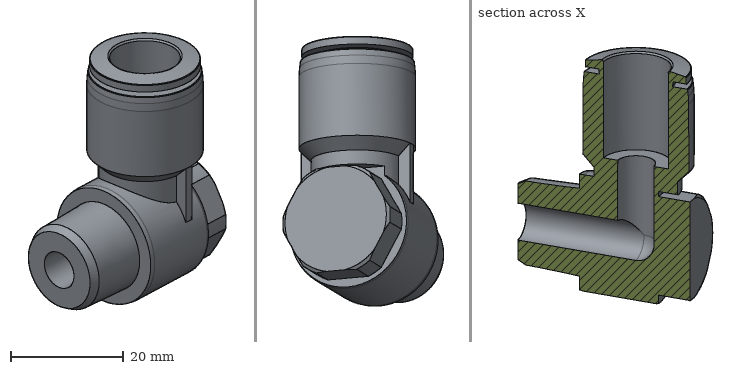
import cadquery as cq
import math


body_radius = 11.25
body_front_y = -11.07
body_rear_y = 4.47
body_edge_inset = 0.15
body_front_edge_length = 0.9
body_rear_edge_length = 0.45

male_root_radius = 8.5
male_tip_radius = 8.15
male_end_radius = 7.3
male_chamfer_y = -21.55
male_end_y = -23.1

hex_across_flats = 19.05
hex_corner_radius = 10.25
hex_rear_y = 10.6
hex_chamfer_inset = 0.6
hex_chamfer_length = 0.4

neck_radius = 8.23
neck_rear_bottom_z = 10.4
socket_radius = 10.4
socket_middle_radius = 10.3
socket_top_radius = 10.15
cone_bottom_z = 12.95
cone_top_z = cone_bottom_z + socket_radius - neck_radius
socket_taper_z = 28.3
socket_middle_z = 29.85
socket_top_z = 31.1
socket_lip_bevel = 0.15

collar_neck_radius = 7.3
collar_neck_foot_radius = 7.2
collar_neck_taper_z = 31.75
collar_radius = 9.9
collar_bottom_z = 31.95
collar_rim_z = 33.4
collar_rim_bevel = 0.15
top_z = 45.2 - body_radius

tube_radius = 6.305
tube_mouth_chamfer = 0.3
tube_seat_z = cone_top_z
passage_radius = 3.505

rib_width = 1.63


def revolve_about_y(profile):
    """Revolve (radius, y) points about the Y axis."""
    return cq.Workplane("XY").polyline(profile).close().revolve(360, (0, 0), (0, 1))


def revolve_about_z(profile):
    """Revolve (radius, z) points about the Z axis."""
    return cq.Workplane("XZ").polyline(profile).close().revolve(360, (0, 0), (0, 1))


def make_body():
    """Horizontal barrel with eased edges and the tapered male end."""
    edge_radius = body_radius - body_edge_inset
    return revolve_about_y([
        (0, male_end_y),
        (male_end_radius, male_end_y),
        (male_tip_radius, male_chamfer_y),
        (male_root_radius, body_front_y),
        (edge_radius, body_front_y),
        (body_radius, body_front_y + body_front_edge_length),
        (body_radius, body_rear_y - body_rear_edge_length),
        (edge_radius, body_rear_y),
        (0, body_rear_y),
    ])


def make_hexagon():
    """Hexagon with corners turned to a cylinder and a chamfered rear edge."""
    prism = (
        cq.Workplane("XZ", origin=(0, hex_rear_y, 0))
        .polygon(6, hex_across_flats / math.cos(math.pi / 6))
        .extrude(hex_rear_y)
    )
    turned_blank = revolve_about_y([
        (0, 0),
        (hex_corner_radius, 0),
        (hex_corner_radius, hex_rear_y - hex_chamfer_length),
        (hex_corner_radius - hex_chamfer_inset, hex_rear_y),
        (0, hex_rear_y),
    ])
    return prism.intersect(turned_blank)


def make_neck():
    """Neck that reaches down into the body and stops above the hexagon behind it."""
    neck = cq.Workplane("XY").circle(neck_radius).extrude(cone_bottom_z)
    clearance = cq.Workplane("XY", origin=(0, body_rear_y, 0)).box(
        2 * neck_radius, neck_radius, neck_rear_bottom_z, centered=(True, False, False)
    )
    return neck.cut(clearance)


def make_socket():
    """Flared socket topped by the release collar."""
    return revolve_about_z([
        (0, cone_bottom_z),
        (neck_radius, cone_bottom_z),
        (socket_radius, cone_top_z),
        (socket_radius, socket_taper_z),
        (socket_middle_radius, socket_middle_z),
        (socket_top_radius, socket_top_z - socket_lip_bevel),
        (socket_top_radius - socket_lip_bevel, socket_top_z),
        (collar_neck_foot_radius, socket_top_z),
        (collar_neck_radius, collar_neck_taper_z),
        (collar_neck_radius, collar_bottom_z),
        (collar_radius, collar_bottom_z),
        (collar_radius, collar_rim_z - collar_rim_bevel),
        (collar_radius - collar_rim_bevel, collar_rim_z),
        (tube_radius + tube_mouth_chamfer, top_z),
        (0, top_z),
    ])


def make_ribs():
    """Thin web joining the socket to both sides of the body."""
    return cq.Workplane("XY").rect(2 * socket_radius, rib_width).extrude(cone_top_z)


def make_passages():
    """Tube bore and an elbow passage rounded by a sphere at the bend."""
    tube_bore = revolve_about_z([
        (0, tube_seat_z),
        (tube_radius, tube_seat_z),
        (tube_radius, top_z - tube_mouth_chamfer),
        (tube_radius + tube_mouth_chamfer, top_z),
        (0, top_z),
    ])
    upright = cq.Workplane("XY").circle(passage_radius).extrude(tube_seat_z)
    outlet = cq.Workplane("XZ").circle(passage_radius).extrude(-male_end_y)
    bend = cq.Workplane("XY").sphere(passage_radius)
    return tube_bore.union(upright).union(outlet).union(bend)


result = (
    make_body()
    .union(make_hexagon())
    .union(make_neck())
    .union(make_socket())
    .union(make_ribs())
    .cut(make_passages())
)